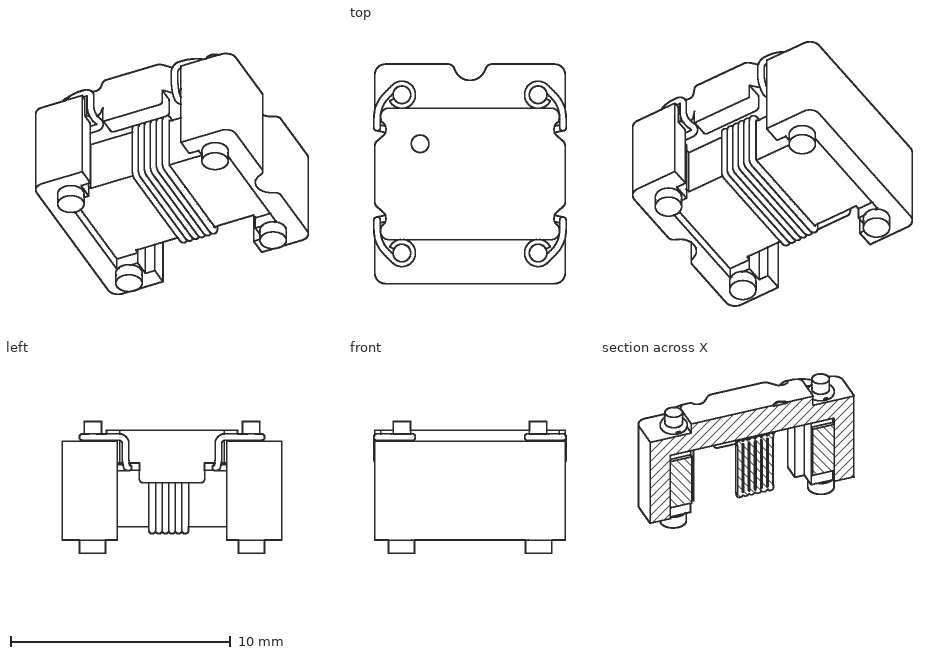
import cadquery as cq
import math

HALF_WIDTH = 4.34
HALF_LENGTH = 5.0
BLOCK_BOTTOM = 0.6
BLOCK_TOP = 5.1
BLOCK_INNER_Y = 2.48
BLOCK_CORNER_RADIUS = 0.5

END_NOTCH_RADIUS = 0.73
END_NOTCH_INSET = 0.01
END_NOTCH_LIP = 0.3
END_NOTCH_START = 1.0

COVER_TOP = 5.6
COVER_BOTTOM = 4.1
COVER_HALF_LENGTH = 2.99
COVER_SHOULDER_X = 4.06
COVER_CORNER_RADIUS = 0.35

WIRE_NOTCH_RADIUS = 0.38
WIRE_NOTCH_INSET = 0.14
WIRE_NOTCH_Y = 2.03
WIRE_NOTCH_LIP = 0.34
WIRE_NOTCH_START = 1.25

FLAP_BOTTOM = 3.2
FLAP_HALF_LENGTH = 1.49
FLAP_CORNER_RADIUS = 0.2
CAVITY_HALF_WIDTH = 3.46
RECESS_Y = 2.95

MARK_DIAMETER = 0.8
MARK_X = -2.27
MARK_Y = 1.37
MARK_DEPTH = 0.05

CORE_HALF_WIDTH = 2.44
CORE_BOTTOM = 1.2
CORE_TOP = 3.78
FLANGE_HALF_WIDTH = 2.64
CORE_HALF_LENGTH = 4.0
TURN_COUNT = 6
TURN_PITCH = 0.3
TURN_RADIUS = 0.16
TURN_STANDOFF = 0.15
TURN_BEND = 0.17
WINDING_CENTRE_Y = 0.15

POST_X = 3.1
POST_Y = 3.6
POST_TOP = 6.0
POST_RADIUS = 0.4
PAD_RADIUS = 0.6
PAD_SHIFT = 0.02

WIRE_RADIUS = 0.15
LOOP_RADIUS = 0.47
LOOP_END_ANGLE = 207.0
LEAVING_ANGLE = 135.0
LEAD_Z = 5.29
LEAD_X = 4.23
LEAD_DROP_Y = 2.11
LEAD_SWEEP_RADIUS = 1.43
LEAD_TOP_BEND = 0.3
LEAD_BOTTOM_BEND = 0.45
LEAD_RUN_Z = 3.9
LEAD_RUN_ANGLE = 12.0
LEAD_END_X = 3.28
LEAD_END_Y = 2.8
LEAD_END_BEND = 0.3


def box(half_x, y_min, y_max, z_min, z_max):
    """Box centred on X."""
    return cq.Workplane("XY").box(2 * half_x, y_max - y_min, z_max - z_min, centered=False).translate(
        (-half_x, y_min, z_min))


def rounded_path(corners):
    """Edges of a polyline of (point, bend radius) pairs; the radius of both end points is ignored."""
    points = [cq.Vector(*point) for point, _ in corners]
    edges = []
    start = points[0]
    for before, corner, after, (_, bend) in zip(points, points[1:], points[2:], corners[1:]):
        back = (before - corner).normalized()
        ahead = (after - corner).normalized()
        half_angle = back.getAngle(ahead) / 2
        trim = bend / math.tan(half_angle)
        sagitta_gap = bend / math.sin(half_angle) - bend
        arc_start = corner + back * trim
        arc_end = corner + ahead * trim
        arc_middle = corner + (back + ahead).normalized() * sagitta_gap
        edges.append(cq.Edge.makeLine(start, arc_start))
        edges.append(cq.Edge.makeThreePointArc(arc_start, arc_middle, arc_end))
        start = arc_end
    edges.append(cq.Edge.makeLine(start, points[-1]))
    return edges



def notch_lip(inset, notch_radius, offset, lip_radius):
    """Where the rounded lip of a round notch ends, and where the flat after it meets the notch.

    The notch centre lies `inset` inside a straight edge and the lip leaves the edge `offset` along it.
    Both points are (distance along the edge from the notch centre, depth inside the edge).
    """
    along = -offset
    across = inset - lip_radius
    tilt = math.acos((lip_radius + notch_radius) / math.hypot(along, across))
    direction = math.atan2(across, along) + tilt
    normal_along = math.cos(direction)
    normal_across = math.sin(direction)
    lip_end = (offset + lip_radius * normal_along, lip_radius * (1 + normal_across))
    notch_start = (-notch_radius * normal_along, inset - notch_radius * normal_across)
    return lip_end, notch_start


def end_notch():
    """Cutter for the notch with rounded lips in the +Y end."""
    (lip_x, lip_depth), (meet_x, meet_depth) = notch_lip(
        END_NOTCH_INSET, END_NOTCH_RADIUS, END_NOTCH_START, END_NOTCH_LIP)
    lip_y = HALF_LENGTH - lip_depth
    meet_y = HALF_LENGTH - meet_depth
    bottom_y = HALF_LENGTH - END_NOTCH_INSET - END_NOTCH_RADIUS
    return (cq.Workplane("XY").workplane(offset=BLOCK_BOTTOM)
            .moveTo(-END_NOTCH_START, HALF_LENGTH)
            .radiusArc((-lip_x, lip_y), END_NOTCH_LIP)
            .lineTo(-meet_x, meet_y)
            .threePointArc((0, bottom_y), (meet_x, meet_y))
            .lineTo(lip_x, lip_y)
            .radiusArc((END_NOTCH_START, HALF_LENGTH), END_NOTCH_LIP)
            .close().extrude(BLOCK_TOP - BLOCK_BOTTOM))


def cover_quarter(z_min, z_max):
    """Quarter of the cover in +X, +Y, with its wire notch."""
    centre_x = HALF_WIDTH - WIRE_NOTCH_INSET
    (lip_along, lip_depth), (meet_along, meet_depth) = notch_lip(
        WIRE_NOTCH_INSET, WIRE_NOTCH_RADIUS, WIRE_NOTCH_Y - WIRE_NOTCH_START, WIRE_NOTCH_LIP)
    notch_end_y = WIRE_NOTCH_Y + math.sqrt(WIRE_NOTCH_RADIUS**2 - (centre_x - COVER_SHOULDER_X)**2)
    corner = COVER_CORNER_RADIUS
    return (cq.Workplane("XY").workplane(offset=z_min)
            .lineTo(HALF_WIDTH, 0)
            .lineTo(HALF_WIDTH, WIRE_NOTCH_START)
            .radiusArc((HALF_WIDTH - lip_depth, WIRE_NOTCH_Y - lip_along), -WIRE_NOTCH_LIP)
            .lineTo(HALF_WIDTH - meet_depth, WIRE_NOTCH_Y - meet_along)
            .threePointArc((centre_x - WIRE_NOTCH_RADIUS, WIRE_NOTCH_Y), (COVER_SHOULDER_X, notch_end_y))
            .lineTo(COVER_SHOULDER_X, COVER_HALF_LENGTH - corner)
            .radiusArc((COVER_SHOULDER_X - corner, COVER_HALF_LENGTH), -corner)
            .lineTo(0, COVER_HALF_LENGTH)
            .close().extrude(z_max - z_min))


def cover_prism(z_min, z_max):
    """Full cover outline between two heights."""
    half = cover_quarter(z_min, z_max)
    half = half.union(half.mirror("YZ"))
    return half.union(half.mirror("XZ"))


def make_blocks():
    """Both end blocks, with the index notch and the recess and core pocket under the cover."""
    blocks = box(HALF_WIDTH, -HALF_LENGTH, HALF_LENGTH, BLOCK_BOTTOM, BLOCK_TOP)
    blocks = blocks.edges("|Z").fillet(BLOCK_CORNER_RADIUS)
    blocks = blocks.cut(box(HALF_WIDTH, -BLOCK_INNER_Y, BLOCK_INNER_Y, BLOCK_BOTTOM, BLOCK_TOP))
    blocks = blocks.cut(box(CAVITY_HALF_WIDTH, -RECESS_Y, RECESS_Y, BLOCK_BOTTOM, COVER_BOTTOM))
    blocks = blocks.cut(
        box(FLANGE_HALF_WIDTH, -CORE_HALF_LENGTH, CORE_HALF_LENGTH, BLOCK_BOTTOM, COVER_BOTTOM))
    return blocks.cut(end_notch())


def make_flaps():
    """Side flaps: the cover outline carried down, trimmed to a panel with rounded lower corners."""
    panel = box(HALF_WIDTH, -FLAP_HALF_LENGTH, FLAP_HALF_LENGTH, FLAP_BOTTOM, COVER_BOTTOM)
    panel = panel.edges("|X and <Z").fillet(FLAP_CORNER_RADIUS)
    panel = panel.cut(box(CAVITY_HALF_WIDTH, -FLAP_HALF_LENGTH, FLAP_HALF_LENGTH, FLAP_BOTTOM, COVER_BOTTOM))
    return panel.intersect(cover_prism(FLAP_BOTTOM, COVER_BOTTOM))


def make_header(leads):
    """Blocks, cover and flaps as one moulding, with clearance cut where a lead touches it."""
    header = make_blocks().union(cover_prism(COVER_BOTTOM, COVER_TOP)).union(make_flaps())
    mark = (cq.Workplane("XY").workplane(offset=COVER_TOP - MARK_DEPTH)
            .center(MARK_X, MARK_Y).circle(MARK_DIAMETER / 2).extrude(MARK_DEPTH))
    post_holes = (cq.Workplane("XY").workplane(offset=BLOCK_BOTTOM)
                  .rect(2 * POST_X, 2 * POST_Y, forConstruction=True).vertices()
                  .circle(POST_RADIUS).extrude(BLOCK_TOP - BLOCK_BOTTOM))
    header = header.cut(mark).cut(post_holes)
    for lead in leads:
        header = header.cut(lead)
    return header



def make_turn(y):
    """One closed turn of round wire, sunk slightly into the core."""
    x = CORE_HALF_WIDTH + TURN_STANDOFF
    z_low = CORE_BOTTOM - TURN_STANDOFF
    z_high = CORE_TOP + TURN_STANDOFF
    corners = [(-x, y, z_low), (x, y, z_low), (x, y, z_high), (-x, y, z_high)]
    seam = (0, y, z_low)
    path = cq.Wire.assembleEdges(rounded_path(
        [(seam, 0)] + [(corner, TURN_BEND) for corner in corners[1:] + corners[:1]] + [(seam, 0)]))
    section = cq.Plane(origin=seam, normal=(1, 0, 0))
    return cq.Workplane(section).circle(TURN_RADIUS).sweep(cq.Workplane(obj=path))


def make_wound_core():
    """Flat bar with a wider flange at each end and the winding merged onto it."""
    core = box(CORE_HALF_WIDTH, -CORE_HALF_LENGTH, CORE_HALF_LENGTH, CORE_BOTTOM, CORE_TOP)
    for y_min, y_max in ((-CORE_HALF_LENGTH, -RECESS_Y), (RECESS_Y, CORE_HALF_LENGTH)):
        core = core.union(box(FLANGE_HALF_WIDTH, y_min, y_max, CORE_BOTTOM, CORE_TOP))
    for turn in range(TURN_COUNT):
        steps_from_centre = turn - (TURN_COUNT - 1) / 2
        core = core.union(make_turn(WINDING_CENTRE_Y + steps_from_centre * TURN_PITCH))
    return core



def on_loop(angle):
    """Point on the loop round the (-X, +Y) post."""
    turn = math.radians(angle)
    return cq.Vector(-POST_X + LOOP_RADIUS * math.cos(turn), POST_Y + LOOP_RADIUS * math.sin(turn), LEAD_Z)


def lead_path():
    """Centre line of the (-X, +Y) lead, from its loop to its end in the block recess."""
    loop_middle = (LOOP_END_ANGLE + LEAVING_ANGLE) / 2 - 180
    loop = cq.Edge.makeThreePointArc(on_loop(LOOP_END_ANGLE), on_loop(loop_middle), on_loop(LEAVING_ANGLE))
    leave = on_loop(LEAVING_ANGLE)
    leave_slope = math.tan(math.radians(LEAVING_ANGLE - 90))
    run_slope = math.tan(math.radians(LEAD_RUN_ANGLE))
    edges = rounded_path([
        (leave.toTuple(), 0),
        ((-LEAD_X, leave.y - (leave.x + LEAD_X) * leave_slope, LEAD_Z), LEAD_SWEEP_RADIUS),
        ((-LEAD_X, LEAD_DROP_Y, LEAD_Z), LEAD_TOP_BEND),
        ((-LEAD_X, LEAD_DROP_Y, LEAD_RUN_Z), LEAD_BOTTOM_BEND),
        ((-LEAD_END_X, LEAD_DROP_Y - (LEAD_X - LEAD_END_X) * run_slope, LEAD_RUN_Z), LEAD_END_BEND),
        ((-LEAD_END_X, LEAD_END_Y, LEAD_RUN_Z), 0),
    ])
    return cq.Wire.assembleEdges([loop] + edges)


def make_leads():
    """Four leads, mirrored from the (-X, +Y) one."""
    path = lead_path()
    section = cq.Plane(origin=path.startPoint(), normal=path.tangentAt(0))
    back_left = cq.Workplane(section).circle(WIRE_RADIUS).sweep(cq.Workplane(obj=path))
    back_pair = [back_left, back_left.mirror("YZ")]
    return back_pair + [lead.mirror("XZ") for lead in back_pair]



def make_pin(side_x, side_y, leads):
    """Pad with a post through the block; the post is grooved where the lead's loop beds into it."""
    pad = (cq.Workplane("XY").center(side_x * (POST_X + PAD_SHIFT), side_y * (POST_Y + PAD_SHIFT))
           .circle(PAD_RADIUS).extrude(BLOCK_BOTTOM))
    post = (cq.Workplane("XY").center(side_x * POST_X, side_y * POST_Y)
            .circle(POST_RADIUS).extrude(POST_TOP))
    pin = pad.union(post)
    for lead in leads:
        pin = pin.cut(lead)
    return pin


leads = make_leads()
header = make_header(leads)
wound_core = make_wound_core()
pins = [make_pin(side_x, side_y, leads) for side_x in (-1, 1) for side_y in (-1, 1)]

result = cq.Compound.makeCompound([body.val() for body in [header, wound_core] + leads + pins])